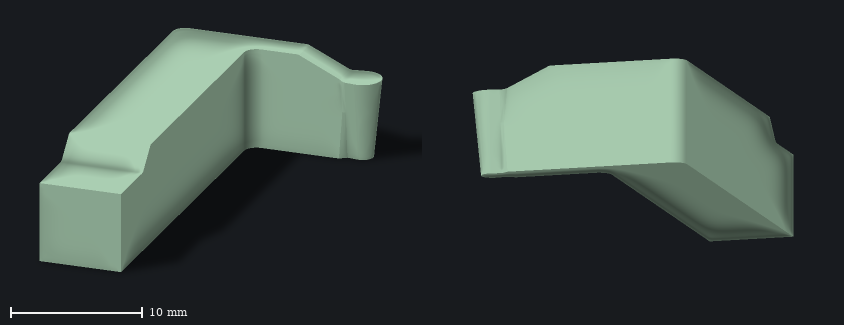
import cadquery as cq
import math

height = 8.08
length = 30.6
shank_width = 6.65
corner_radius = 1.0
arm_half_width = 1.13

seat_height = 6.4
step_depth = height - seat_height
shank_step_y = 6.5
shank_step_angle = math.radians(45)
shank_crest_radius = 0.25
arm_step_end_x = 14.25
arm_step_angle = math.radians(25)
arm_root_radius = 1.0
step_radius = 0.5

total_width = 17.0
head_radius = 1.5
foot_radius = 0.85
flank_angle = math.radians(7)
flank_start_x = 14.55
neck_start_x = 13.98
neck_middle_x = 14.25
head_x = total_width - head_radius
center_y = length - head_radius
margin = 0.3
stock_top = seat_height + margin


def head_radius_at(z):
    """Radius of the head, which tapers evenly with height."""
    return foot_radius + (head_radius - foot_radius) * z / seat_height


def flank_half_width(radius):
    """Half width at the start of the flanks tangent to a head of this radius."""
    return radius / math.cos(flank_angle) - (head_x - flank_start_x) * math.tan(flank_angle)


def flush_height():
    """Height at which the start of the flanks is as wide as the arm."""
    flush_radius = math.cos(flank_angle) * (
        arm_half_width + (head_x - flank_start_x) * math.tan(flank_angle)
    )
    return seat_height * (flush_radius - foot_radius) / (head_radius - foot_radius)


def head_section(z):
    """Horizontal outline of the head at one height."""
    radius = head_radius_at(z)
    half_width = flank_half_width(radius)
    tangent_x = head_x - radius * math.sin(flank_angle)
    tangent_y = radius * math.cos(flank_angle)
    outline = (
        cq.Workplane(origin=(0, center_y, z))
        .moveTo(flank_start_x, -half_width)
        .lineTo(tangent_x, -tangent_y)
        .threePointArc((head_x + radius, 0), (tangent_x, tangent_y))
        .lineTo(flank_start_x, half_width)
        .close()
    )
    return outline.val()


def neck_section(z, neck_x):
    """Horizontal outline of the neck, from the arm end to the start of the flanks."""
    half_width = flank_half_width(head_radius_at(z))
    outline = [
        (neck_x, -arm_half_width),
        (flank_start_x, -half_width),
        (flank_start_x, half_width),
        (neck_x, arm_half_width),
    ]
    return cq.Workplane(origin=(0, center_y, z)).polyline(outline).close().val()


def make_head():
    """Tapered head with a neck that narrows below the flush height and widens above it."""
    head = cq.Solid.makeLoft([head_section(0), head_section(stock_top)], True)
    bottom = neck_section(0, neck_start_x)
    middle = neck_section(flush_height(), neck_middle_x)
    top = neck_section(stock_top, neck_start_x)
    lower_neck = cq.Solid.makeLoft([bottom, middle], True)
    upper_neck = cq.Solid.makeLoft([middle, top], True)
    return cq.Workplane(head).union(cq.Workplane(lower_neck), clean=False).union(
        cq.Workplane(upper_neck), clean=False
    )


def make_blank():
    """L-shaped plate with rounded corners; the arm end is pointed where the neck is flush."""
    shank = cq.Workplane().box(
        shank_width, center_y + arm_half_width, height, centered=False
    )
    arm_side = [
        (0, 0),
        (neck_start_x, 0),
        (neck_middle_x, flush_height()),
        (neck_start_x, stock_top),
        (neck_start_x, height),
        (0, height),
    ]
    arm = (
        cq.Workplane("XZ", origin=(0, center_y - arm_half_width, 0))
        .polyline(arm_side)
        .close()
        .extrude(-2 * arm_half_width)
    )
    blank = shank.union(arm)
    outer_corner = cq.selectors.NearestToPointSelector((0, center_y + arm_half_width, height / 2))
    inner_corner = cq.selectors.NearestToPointSelector(
        (shank_width, center_y - arm_half_width, height / 2)
    )
    return blank.edges(outer_corner).fillet(corner_radius).edges(inner_corner).fillet(corner_radius)


def step_cutter(crest, root, end, crest_radius, root_radius, width):
    """Prism along +Y that lowers the top to the seat by a rounded slope running along X."""
    direction = math.copysign(1, root - crest)
    lead_in = crest - direction * 2 * crest_radius
    cutter_top = height + margin
    outline = [
        (lead_in, cutter_top),
        (lead_in, height),
        (crest, height),
        (root, seat_height),
        (end, seat_height),
        (end, cutter_top),
    ]
    prism = cq.Workplane("XZ").polyline(outline).close().extrude(-width)
    crest_edge = cq.selectors.NearestToPointSelector((crest, width / 2, height))
    root_edge = cq.selectors.NearestToPointSelector((root, width / 2, seat_height))
    return prism.edges(crest_edge).fillet(crest_radius).edges(root_edge).fillet(root_radius)


def arm_step_cutter():
    """Slope down the arm, continuing as the flat face of the head."""
    crest_x = arm_step_end_x - step_depth / math.tan(arm_step_angle)
    return step_cutter(
        crest_x, arm_step_end_x, total_width + margin, step_radius, arm_root_radius, length + margin
    )


def shank_step_cutter():
    """Slope down the shank to the seat at its free end."""
    root_y = shank_step_y - step_depth / math.tan(shank_step_angle)
    cutter = step_cutter(
        shank_step_y, root_y, -margin, shank_crest_radius, step_radius, shank_width
    )
    return cutter.rotate((0, 0, 0), (0, 0, 1), 90).translate((shank_width, 0, 0))


arm_step = arm_step_cutter()
body = make_blank().cut(arm_step).cut(shank_step_cutter()).clean()
head = make_head().cut(arm_step, clean=False)
result = body.union(head, clean=False)